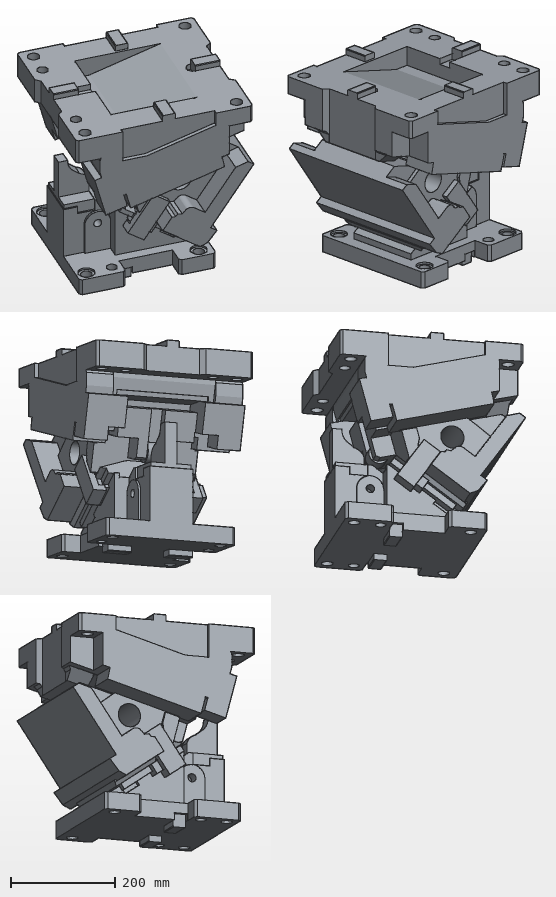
import cadquery as cq
import math


TOP = 399.0
KEY_RISE = 12.5
HOLDER_TOP = TOP - KEY_RISE
BASE_BOTTOM = KEY_RISE

RAMP_ANGLE = math.radians(35)
RAMP_Y, RAMP_Z = 114.5, 153.0

SLIDE_ANGLE = math.radians(15)
SLIDE_Y, SLIDE_Z = 302.5, 260.0

HOLDER_WIDTH = 330.0
HOLDER_HALF = HOLDER_WIDTH / 2
HOLDER_REAR = 360.3
PLATE_BOTTOM = 336.0
COLUMN_FRONT = 48.0
COLUMN_BEND = 305.2
LEDGE_Y, LEDGE_Z = 50.3, 330.8
RECESS_HALF = 107.7
RECESS_DEPTH, RECESS_TOP = 226.5, 129.0
DEEP_RECESS, DEEP_RECESS_TOP = 222.5, 105.7
OPENING_REAR, OPENING_TOP = 179.5, 84.5
REAR_EDGE_Z = 299.5
FRONT_EDGE, REAR_EDGE = 9.5, 349.5
CORNER = 4.8
RAIL_FRONT = 198.5
PAD_REAR = 203.5
PAD_BACK = 234.2
PAD_FRONT = 248.5
PAD_INNER = 81.8
PAD_TOP = 95.8
PAD_BOTTOM = 8.5
PAD_RELIEF = 34.7
RELIEF_OUTER = 115.7
CHEEK_REAR = -1.0
REAR_UNDERSIDE = 23.5
CHANNEL_HALF = 96.5
CHANNEL_DEPTH = 24.0
STOP_REAR = 176.0
STOP_FRONT = 216.0
STOP_HALF = 80.5
STOP_TOP = 72.5
STEM_HALF = 36.0
STEM_TOP = 14.8
STEM_BOTTOM = -26.7
STOP_SLOT_HALF = 14.8
STOP_SLOT_REAR = 200.3
ROLLER_RADIUS = 20.0
ROLLER_S, ROLLER_N = 201.5, -12.0
WINDOW_HALF = 100.0
WINDOW_FRONT, WINDOW_REAR = 94.5, 269.7
WINDOW_FLOOR = 347.5
SIDE_RECESS_DEPTH = 8.8
SIDE_RECESS_REAR = 285.3
SIDE_RECESS_FLOOR = 320.8
KEY_WIDTH = 26.0
KEY_LENGTH = 50.5
KEY_SLOT_DEPTH = 12.0
KEY_EDGE = 1.5
FRONT_KEY_Y = FRONT_EDGE + KEY_LENGTH / 2
REAR_KEY_Y = REAR_EDGE - KEY_LENGTH / 2
SIDE_KEY_X = HOLDER_HALF - SIDE_RECESS_DEPTH - KEY_LENGTH / 2
SIDE_KEY_Y = 192.5
BOLT_X, FRONT_BOLT_Y, REAR_BOLT_Y = 142.0, 26.0, 335.0
BOLT_DIAMETER = 23.5
DOWEL_X = 92.0
DOWEL_RADIUS = 10.8

WING_HALF = 150.5
WING_FACE, WING_BACK = 125.0, 156.0
WING_SHOULDER = 141.5
WING_BOTTOM = 21.0
GIB_UPPER, GIB_LOWER = 26.7, 67.0
GIB_TOP, GIB_BOTTOM = 69.0, -23.0
GIB_OUTER = 115.7
FLANGE_HALF = 109.7
FLANGE_REAR = 145.5
BODY_STEP = 39.0
BODY_HALF = 103.7
REAR_BODY_HALF = 95.8
REAR_STEP = 163.5
SLIDER_RISE = 218.5
SLIDE_GAP = 2.0
FRONT_GAP = 3.0
BODY_KEY_HALF = 95.0
BODY_KEY_REAR = 56.0
SHOE_FRONT, SHOE_REAR = 2.0, 166.5
SOLE_HALF = 87.8
SOLE_REAR = 151.5
SHOE_HALF = 101.0
SHOE_BOTTOM = 12.8
CROSS_HOLE_RADIUS = 22.7
CROSS_HOLE_Y, CROSS_HOLE_Z = 234.5, 208.3

BASE_HALF = 135.5
BASE_FRONT, BASE_REAR = 17.5, 296.0
BASE_TOP = 46.3
BASE_CORNER = 5.0
WAIST_HALF = 97.5
WAIST_FRONT, WAIST_REAR = 112.0, 221.0
PEDESTAL_HALF = 76.0
PEDESTAL_REAR = 267.0
GROOVE_HALF = 65.5
GROOVE_DEPTH = 8.0
REAR_LEDGE = 10.0
RAMP_FOOT_Z = 58.5
GUIDE_START, GUIDE_END = 32.7, 81.8
GUIDE_BOTTOM = -8.8
POCKET_START, POCKET_END = 115.0, 149.5
POCKET_INNER = 68.0
COLUMN_HALF = 45.5
COLUMN_TOP = 160.0
COLUMN_RISE_Y, COLUMN_RISE_Z = 91.0, 144.5
INSERT_HALF = 42.0
INSERT_FRONT, INSERT_REAR = 19.5, 82.0
INSERT_STEP_Y, INSERT_STEP_Z = 46.5, 153.0
INSERT_BOTTOM, INSERT_TOP = 137.5, 161.0
TAB_HALF = 12.8
TAB_TOP = 241.0
PAD_HALF = 50.3
ARCH_Y, ARCH_Z, ARCH_RADIUS = 85.8, 109.7, 26.5
ARCH_HOLE_RADIUS = 8.0
ARCH_HOLE_DEPTH = 24.0
BASE_KEY_INNER, BASE_KEY_OUTER = 39.5, 89.5
BASE_KEY_FRONT, BASE_KEY_REAR = 113.7, 139.5
BASE_KEY_TOP = 26.0
BASE_BOLT_X, BASE_BOLT_Y = 113.7, (39.0, 268.5)
BASE_BOLT_RADIUS = 11.0
COUNTERBORE_RADIUS, COUNTERBORE_DEPTH = 16.5, 4.0
BASE_DOWEL_X, BASE_DOWEL_Y, BASE_DOWEL_RADIUS = 113.0, 91.5, 10.5

BEYOND = 239.5


def ramp(s, n):
    """(Y, Z) of a point s down the base ramp and n above it."""
    c, k = math.cos(RAMP_ANGLE), math.sin(RAMP_ANGLE)
    return (RAMP_Y + s * c + n * k, RAMP_Z - s * k + n * c)


def slide(s, n):
    """(Y, Z) of a point s down the slide face and n above it."""
    c, k = math.cos(SLIDE_ANGLE), math.sin(SLIDE_ANGLE)
    return (SLIDE_Y - s * c - n * k, SLIDE_Z - s * k + n * c)


def across(outline, half):
    """A (Y, Z) outline extruded over -half < X < half."""
    return cq.Workplane("YZ").polyline(outline).close().extrude(half, both=True)


def both_sides(outline, inner, outer):
    """A (Y, Z) outline extruded over inner < |X| < outer, on both sides."""
    right = cq.Workplane("YZ", origin=(inner, 0, 0)).polyline(outline).close().extrude(outer - inner)
    return right.union(right.mirror("YZ"))


def block(frame, s0, s1, n0, n1):
    """The four corners of a rectangle in the ramp or slide frame."""
    return [frame(s0, n0), frame(s1, n0), frame(s1, n1), frame(s0, n1)]


def box(x0, x1, y0, y1, z0, z1):
    return cq.Workplane("XY").box(x1 - x0, y1 - y0, z1 - z0, centered=False).translate((x0, y0, z0))


def upright(points, radius, z0, z1):
    """Vertical cylinders between two heights."""
    return cq.Workplane("XY", origin=(0, 0, z0)).pushPoints(points).circle(radius).extrude(z1 - z0)


def holder_plate():
    """Top plate with chamfered corners."""
    plate = box(-HOLDER_HALF, HOLDER_HALF, 0, HOLDER_REAR, PLATE_BOTTOM, HOLDER_TOP)
    return plate.edges("|Z").chamfer(CORNER)


def edge_reliefs():
    """Shallow trapezoids cut from the front and rear edges over their whole height."""
    front_wide, front_narrow = 65.5, 56.0
    rear_wide, rear_narrow = 69.5, 61.5
    front = [(-front_wide, 0), (-front_narrow, FRONT_EDGE), (front_narrow, FRONT_EDGE), (front_wide, 0)]
    rear = [(-rear_wide, HOLDER_REAR), (-rear_narrow, REAR_EDGE),
            (rear_narrow, REAR_EDGE), (rear_wide, HOLDER_REAR)]
    plane = cq.Workplane("XY")
    front_cut = plane.polyline(front).close().extrude(HOLDER_TOP)
    return front_cut.union(plane.polyline(rear).close().extrude(HOLDER_TOP))


def holder_column():
    """Cheeks, rails, front pads and rear block below the plate."""
    column = across(
        [
            (LEDGE_Y, PLATE_BOTTOM), (COLUMN_FRONT, LEDGE_Z), (COLUMN_FRONT, COLUMN_BEND),
            slide(PAD_BACK, PAD_TOP), slide(PAD_FRONT, PAD_TOP),
            slide(PAD_FRONT, PAD_BOTTOM), slide(PAD_REAR, PAD_BOTTOM),
            slide(PAD_REAR, PAD_RELIEF), slide(RAIL_FRONT, PAD_RELIEF),
            slide(RAIL_FRONT, 0), slide(0, 0),
            slide(CHEEK_REAR, REAR_UNDERSIDE), (HOLDER_REAR, REAR_EDGE_Z), (HOLDER_REAR, PLATE_BOTTOM),
        ],
        HOLDER_HALF,
    )
    opening_rear = slide(OPENING_REAR, OPENING_TOP)
    front_opening = [slide(STOP_FRONT, -BEYOND), slide(STOP_FRONT, STOP_TOP), slide(OPENING_REAR, STOP_TOP),
                     opening_rear, (-BEYOND, opening_rear[1]), (-BEYOND, 0)]
    column = column.cut(across(front_opening, PAD_INNER))
    recess = [(LEDGE_Y, PLATE_BOTTOM), slide(RECESS_DEPTH, RECESS_TOP), slide(RECESS_DEPTH, PAD_TOP),
              slide(BEYOND + RECESS_DEPTH, PAD_TOP), (0, PLATE_BOTTOM)]
    column = column.cut(across(recess, RECESS_HALF))
    deep_recess = block(slide, DEEP_RECESS, RECESS_DEPTH, PAD_TOP, DEEP_RECESS_TOP)
    column = column.cut(across(deep_recess, CHANNEL_HALF))
    column = column.cut(across(block(slide, RAIL_FRONT, 279.3, -40, PAD_RELIEF), RELIEF_OUTER))
    column = column.cut(across(block(slide, -40, 279.3, -40, CHANNEL_DEPTH), CHANNEL_HALF))
    return column


def rear_corner_cuts():
    """Rear corners cut away below a thinner part of the plate."""
    corner_front, corner_top = 312.5, 351.0
    outline = [(corner_front, 0), (HOLDER_REAR, 0), (HOLDER_REAR, corner_top), (corner_front, corner_top)]
    return both_sides(outline, RELIEF_OUTER, HOLDER_HALF)


def rear_wedge():
    """V-bottomed block hanging under the rear of the holder."""
    wide, narrow = 95.8, 70.0
    front, bottom = -7.0, 1.0
    rear_bottom = slide(-49.5, bottom)
    wedge = across(
        [slide(front, REAR_UNDERSIDE), slide(front, bottom), rear_bottom, (rear_bottom[0], 291.5),
         slide(-60.5, REAR_UNDERSIDE)],
        wide,
    )
    plane = cq.Plane(origin=(0, SLIDE_Y, SLIDE_Z), xDir=(-1, 0, 0),
                     normal=(0, math.cos(SLIDE_ANGLE), math.sin(SLIDE_ANGLE)))
    section = [(-wide, REAR_UNDERSIDE), (wide, REAR_UNDERSIDE), (narrow, 0), (-narrow, 0)]
    return wedge.intersect(cq.Workplane(plane).polyline(section).close().extrude(BEYOND))


def stop():
    """T-shaped stop that hangs in front of the slider."""
    head = across(block(slide, STOP_REAR, STOP_FRONT, STEM_TOP, STOP_TOP), STOP_HALF)
    stem = across(
        [slide(STOP_REAR, STEM_TOP), slide(STOP_REAR, STEM_BOTTOM), slide(207.5, STEM_BOTTOM),
         slide(STOP_FRONT, -21.5), slide(STOP_FRONT, STEM_TOP)],
        STEM_HALF,
    )
    return head.union(stem)


def stop_slot():
    """Slot in the stop that clears the base tab."""
    return across(block(slide, STOP_SLOT_REAR, 239.5, -40, STOP_TOP), STOP_SLOT_HALF)


def stop_roller():
    """Roller across the lower end of the stop slot."""
    y, z = slide(ROLLER_S, ROLLER_N)
    return cq.Workplane("YZ").center(y, z).circle(ROLLER_RADIUS).extrude(STOP_SLOT_HALF, both=True)


def holder_window():
    """Top window whose floor falls from the rear edge and ends level at the front."""
    bend = WINDOW_REAR - (HOLDER_TOP - WINDOW_FLOOR) / math.tan(SLIDE_ANGLE)
    return across(
        [(WINDOW_REAR, HOLDER_TOP), (bend, WINDOW_FLOOR),
         (WINDOW_FRONT, WINDOW_FLOOR), (WINDOW_FRONT, HOLDER_TOP)],
        WINDOW_HALF,
    )


def side_recesses():
    """Shallow side recesses with a falling floor that ends level at the front."""
    bend = 143.5
    rear_floor = SIDE_RECESS_FLOOR + (SIDE_RECESS_REAR - bend) * math.tan(SLIDE_ANGLE)
    return both_sides(
        [(SIDE_RECESS_REAR, HOLDER_TOP), (SIDE_RECESS_REAR, rear_floor), (bend, SIDE_RECESS_FLOOR),
         (WINDOW_FRONT, SIDE_RECESS_FLOOR), (WINDOW_FRONT, HOLDER_TOP)],
        HOLDER_HALF - SIDE_RECESS_DEPTH, HOLDER_HALF,
    )


def key_slots():
    """Front slot open to the window, and rear slot with a round inner end."""
    half = KEY_WIDTH / 2
    floor = HOLDER_TOP - KEY_SLOT_DEPTH
    rear_start = REAR_KEY_Y - KEY_LENGTH / 2
    front = box(-half, half, 0, WINDOW_FRONT, floor, HOLDER_TOP)
    rear = box(-half, half, rear_start, HOLDER_REAR, floor, HOLDER_TOP)
    return front.union(rear).union(upright([(0, rear_start)], half, floor, HOLDER_TOP))


def holder_key(x, y, turn):
    """Key with chamfered upper edges, turned about Z."""
    height = TOP - HOLDER_TOP + KEY_SLOT_DEPTH
    key = cq.Workplane("XY").box(KEY_WIDTH, KEY_LENGTH, height).edges("|Y and >Z").chamfer(KEY_EDGE)
    return key.rotate((0, 0, 0), (0, 0, 1), turn).translate((x, y, TOP - height / 2))


def make_holder():
    body = holder_plate().union(holder_column()).union(rear_wedge()).union(stop())
    body = body.cut(stop_slot()).union(stop_roller())
    body = body.cut(rear_corner_cuts()).cut(edge_reliefs())
    body = body.cut(holder_window()).cut(side_recesses()).cut(key_slots())
    bolts = [(x, y) for x in (-BOLT_X, BOLT_X) for y in (FRONT_BOLT_Y, REAR_BOLT_Y)]
    dowels = [(-DOWEL_X, FRONT_BOLT_Y), (DOWEL_X, FRONT_BOLT_Y)]
    body = body.cut(upright(bolts, BOLT_DIAMETER / 2, PLATE_BOTTOM, HOLDER_TOP))
    body = body.cut(upright(dowels, DOWEL_RADIUS, PLATE_BOTTOM, HOLDER_TOP))
    for x, y, turn in (
        (0, FRONT_KEY_Y, 0), (0, REAR_KEY_Y, 0), (-SIDE_KEY_X, SIDE_KEY_Y, 90), (SIDE_KEY_X, SIDE_KEY_Y, 90),
    ):
        body = body.union(holder_key(x, y, turn))
    return body


def slider_wing():
    """Inclined wing plate with a rounded shoulder."""
    return (
        cq.Workplane("YZ")
        .moveTo(*ramp(WING_BACK, SLIDER_RISE))
        .lineTo(*ramp(WING_SHOULDER, SLIDER_RISE))
        .lineTo(*ramp(WING_FACE, 198.0))
        .lineTo(*ramp(WING_FACE, 89.5))
        .lineTo(*ramp(96.0, 89.5))
        .threePointArc(ramp(89.8, 87.0), ramp(85.0, 81.5))
        .lineTo(*ramp(82.0, 68.5))
        .lineTo(*ramp(74.2, 64.5))
        .lineTo(*ramp(73.0, 58.3))
        .lineTo(*ramp(GIB_LOWER, 54.0))
        .lineTo(*ramp(GIB_LOWER, WING_BOTTOM))
        .lineTo(*ramp(160.8, WING_BOTTOM))
        .lineTo(*ramp(169.5, 36.0))
        .lineTo(*ramp(171.5, 65.0))
        .lineTo(*ramp(WING_BACK, 65.0))
        .close()
        .extrude(WING_HALF, both=True)
    )


def slider_body():
    """Central body: narrow rear, wider middle, front flange and the key in the holder channel."""
    foot = slide(STOP_REAR, -59.5)
    bottom = 21.5
    inner = REAR_STEP - 20
    rear = across(
        [ramp(WING_SHOULDER, SLIDER_RISE), ramp(114.5, SLIDER_RISE), slide(BODY_STEP, -SLIDE_GAP),
         ramp(GIB_LOWER, inner), ramp(WING_SHOULDER, inner)],
        REAR_BODY_HALF,
    )
    middle = across(
        [ramp(WING_FACE, REAR_STEP), slide(BODY_STEP, 0), slide(STOP_REAR, 0), foot, ramp(WING_FACE, bottom)],
        BODY_HALF,
    )
    flange = across(
        [slide(FLANGE_REAR, -FRONT_GAP), slide(STOP_REAR, -FRONT_GAP), foot, ramp(GIB_LOWER, bottom),
         ramp(GIB_LOWER, 54.3), slide(151.5, -38.7), slide(FLANGE_REAR, -26.0)],
        FLANGE_HALF,
    )
    key = across(block(slide, BODY_KEY_REAR, STOP_REAR, -4, CHANNEL_DEPTH), BODY_KEY_HALF)
    return rear.union(middle).union(flange).union(key)


def shoe_stretch(half_section, start, end):
    """A symmetric (X, n) section run along the ramp between two stations."""
    section = half_section + [(-x, n) for x, n in reversed(half_section)]
    y, z = ramp(start, 0)
    plane = cq.Plane(origin=(0, y, z), xDir=(1, 0, 0),
                     normal=(0, -math.cos(RAMP_ANGLE), math.sin(RAMP_ANGLE)))
    return cq.Workplane(plane).polyline(section).close().extrude(start - end)


def slider_shoe():
    """Shoe with chamfered lower edges and a gabled front, with the sole and tongue that run on the ramp."""
    edge_chamfer = 6.5
    lower_edge = (SHOE_HALF - edge_chamfer, SHOE_BOTTOM)
    gable = [lower_edge, (SHOE_HALF, 14.0), (38.7, 38.5)]
    flat = [lower_edge, (SHOE_HALF, WING_BOTTOM), (SHOE_HALF, WING_BOTTOM + 4)]
    shoe = shoe_stretch(gable, SHOE_FRONT, GIB_LOWER).union(shoe_stretch(flat, GIB_UPPER, SHOE_REAR))
    sole = across(block(ramp, SHOE_FRONT, SOLE_REAR, 0, SHOE_BOTTOM + 4), SOLE_HALF)
    tongue = across(block(ramp, SHOE_FRONT, SOLE_REAR, -GROOVE_DEPTH, 0), GROOVE_HALF)
    return shoe.union(sole).union(tongue)


def gibs():
    """Side gibs that reach under the guide rails of the base."""
    cheek = both_sides(block(ramp, GIB_UPPER, GIB_LOWER, GIB_BOTTOM, GIB_TOP), SHOE_HALF, GIB_OUTER)
    lip = both_sides(block(ramp, GIB_UPPER, GIB_LOWER, GIB_BOTTOM, GUIDE_BOTTOM), SOLE_HALF, GIB_OUTER)
    return cheek.union(lip)


def make_slider():
    centre = cq.Workplane("YZ").center(CROSS_HOLE_Y, CROSS_HOLE_Z)
    hole = centre.circle(CROSS_HOLE_RADIUS).extrude(FLANGE_HALF, both=True)
    return slider_wing().union(slider_body()).union(slider_shoe()).union(gibs()).cut(hole)


def base_plate():
    """Foot plate narrowed at the waist."""
    plate = box(-BASE_HALF, BASE_HALF, BASE_FRONT, BASE_REAR, BASE_BOTTOM, BASE_TOP)
    for side in (-1, 1):
        x0, x1 = sorted((side * WAIST_HALF, side * BEYOND))
        plate = plate.cut(box(x0, x1, WAIST_FRONT, WAIST_REAR, BASE_BOTTOM, BASE_TOP))
    return plate.faces("<X or >X").edges("|Z").chamfer(BASE_CORNER)


def pedestal():
    """Block that carries the grooved ramp, the guide rails and the side pockets."""
    block_body = across(
        [(PEDESTAL_REAR, BASE_BOTTOM), (PEDESTAL_REAR, RAMP_FOOT_Z), ramp(SOLE_REAR, REAR_LEDGE),
         ramp(SOLE_REAR, 0), ramp(0, 0), (WAIST_FRONT, RAMP_Z), (WAIST_FRONT, BASE_BOTTOM)],
        PEDESTAL_HALF,
    )
    groove = across(block(ramp, -20, SOLE_REAR, -GROOVE_DEPTH, 40), GROOVE_HALF)
    pockets = both_sides(block(ramp, POCKET_START, POCKET_END, GUIDE_BOTTOM, 0), POCKET_INNER, PEDESTAL_HALF)
    return block_body.cut(groove).cut(pockets)


def guide_rails():
    """Stepped rails that guide the shoe; the gibs reach under them."""
    low = both_sides(block(ramp, GUIDE_START, GUIDE_END, GUIDE_BOTTOM, 0), GROOVE_HALF, SOLE_HALF)
    high = both_sides(block(ramp, GUIDE_START, GUIDE_END, GUIDE_BOTTOM, SHOE_BOTTOM), SOLE_HALF, SHOE_HALF)
    return low.union(high)


def column():
    """Front column with a seat for the tab insert."""
    return across(
        [(WAIST_FRONT, BASE_BOTTOM), (WAIST_FRONT, COLUMN_RISE_Z), (COLUMN_RISE_Y, COLUMN_TOP),
         (INSERT_REAR, COLUMN_TOP), (INSERT_REAR, INSERT_BOTTOM), (INSERT_STEP_Y, INSERT_BOTTOM),
         (INSERT_STEP_Y, INSERT_STEP_Z), (BASE_FRONT, INSERT_STEP_Z), (BASE_FRONT, BASE_BOTTOM)],
        COLUMN_HALF,
    )


def tab_insert():
    """Stepped insert and its upright tab with an S-curved back."""
    foot = across(
        [(INSERT_REAR, INSERT_BOTTOM), (INSERT_REAR, INSERT_TOP), (INSERT_FRONT, INSERT_TOP),
         (INSERT_FRONT, INSERT_STEP_Z), (INSERT_STEP_Y, INSERT_STEP_Z), (INSERT_STEP_Y, INSERT_BOTTOM)],
        INSERT_HALF,
    )
    tab = (
        cq.Workplane("YZ")
        .moveTo(INSERT_FRONT, INSERT_TOP)
        .lineTo(INSERT_REAR, INSERT_TOP)
        .lineTo(INSERT_REAR, 186.5)
        .threePointArc((77.0, 196.5), (63.0, 205.0))
        .lineTo(52.3, 213.5)
        .threePointArc((43.0, 222.5), (39.0, 233.5))
        .lineTo(38.5, TAB_TOP)
        .lineTo(INSERT_FRONT, TAB_TOP)
        .close()
        .extrude(TAB_HALF, both=True)
    )
    return foot.union(tab)


def arched_pads():
    """Round-topped pads on the column sides."""
    return (
        cq.Workplane("YZ")
        .moveTo(ARCH_Y - ARCH_RADIUS, BASE_BOTTOM)
        .lineTo(ARCH_Y - ARCH_RADIUS, ARCH_Z)
        .threePointArc((ARCH_Y, ARCH_Z + ARCH_RADIUS), (ARCH_Y + ARCH_RADIUS, ARCH_Z))
        .lineTo(ARCH_Y + ARCH_RADIUS, BASE_BOTTOM)
        .close()
        .extrude(PAD_HALF, both=True)
    )


def arch_holes():
    """Blind holes with conical ends in the arched pads."""
    hole = (
        cq.Workplane("YZ", origin=(PAD_HALF, 0, 0))
        .center(ARCH_Y, ARCH_Z)
        .circle(ARCH_HOLE_RADIUS)
        .extrude(-ARCH_HOLE_DEPTH)
    )
    tip = cq.Workplane("XY").add(
        cq.Solid.makeCone(
            ARCH_HOLE_RADIUS, 0, ARCH_HOLE_RADIUS,
            cq.Vector(PAD_HALF - ARCH_HOLE_DEPTH, ARCH_Y, ARCH_Z), cq.Vector(-1, 0, 0),
        )
    )
    hole = hole.union(tip)
    return hole.union(hole.mirror("YZ"))


def make_base():
    body = base_plate().union(pedestal()).union(guide_rails()).union(column())
    body = body.union(tab_insert()).union(arched_pads()).cut(arch_holes())
    for side in (-1, 1):
        slot_x = sorted((side * BASE_KEY_INNER, side * WAIST_HALF))
        key_x = sorted((side * BASE_KEY_INNER, side * BASE_KEY_OUTER))
        body = body.cut(box(*slot_x, BASE_KEY_FRONT, BASE_KEY_REAR, 0, BASE_KEY_TOP))
        key = box(*key_x, BASE_KEY_FRONT, BASE_KEY_REAR, 0, BASE_KEY_TOP)
        body = body.union(key.edges("|X and <Z").chamfer(KEY_EDGE))
    bolts = [(x, y) for x in (-BASE_BOLT_X, BASE_BOLT_X) for y in BASE_BOLT_Y]
    dowels = [(-BASE_DOWEL_X, BASE_DOWEL_Y), (BASE_DOWEL_X, BASE_DOWEL_Y)]
    body = body.cut(upright(bolts, BASE_BOLT_RADIUS, 0, BASE_TOP))
    body = body.cut(upright(bolts, COUNTERBORE_RADIUS, BASE_TOP - COUNTERBORE_DEPTH, BASE_TOP))
    return body.cut(upright(dowels, BASE_DOWEL_RADIUS, 0, BASE_TOP))


holder = make_holder()
slider = make_slider()
base = make_base()
result = cq.Compound.makeCompound([holder.val(), slider.val(), base.val()])